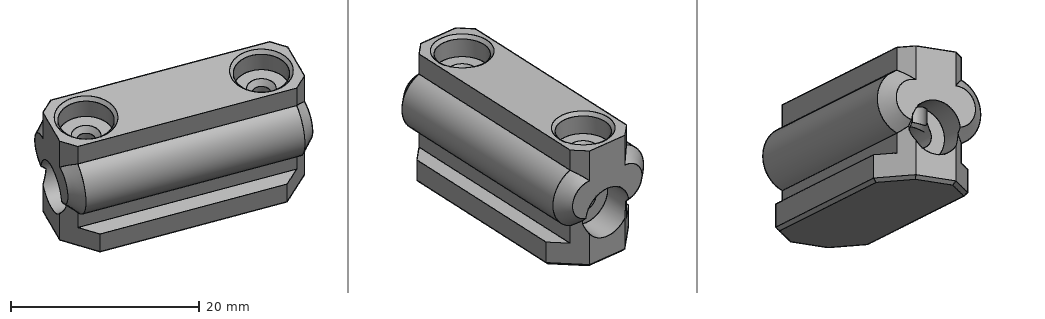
import cadquery as cq

length = 28.0
height = 14.67
end_chamfer = 1.48
edge_chamfer = 0.4

web_width = 7.85
base_width = 11.48
base_height = 2.97
end_face_width = web_width - 2 * end_chamfer
base_corner = (base_width - end_face_width) / 2

overall_width = 12.6
lobe_radius = 3.75
lobe_height = 8.65
lobe_offset = overall_width / 2 - lobe_radius

bore_height = 6.0
bore_diameter = 2.8
end_bore_diameter = 6.0
end_bore_depth = 3.5

screw_end_distance = 3.98
screw_spacing = length - 2 * screw_end_distance
screw_diameter = 2.0
head_diameter = 6.0
head_depth = 2.6
head_chamfer = 0.4
screw_chamfer = 0.6
crossing_chamfer = 0.4


def chamfered_block(width, block_height, corner):
    """Block standing on Z = 0 with its four vertical edges chamfered."""
    block = cq.Workplane("XY").box(width, length, block_height, centered=(True, True, False))
    return block.edges("|Z").chamfer(corner)


def side_lobe(side):
    """Lengthwise cylinder with chamfered ends, on the given side of the web."""
    lobe = (
        cq.Workplane("XZ", origin=(0, length / 2, 0))
        .center(side * lobe_offset, lobe_height)
        .circle(lobe_radius)
        .extrude(length)
    )
    return lobe.faces("|Y").edges().chamfer(end_chamfer)


def lengthwise_cylinder(diameter, start_y, depth):
    """Cylinder along +Y on the bore axis."""
    axis = cq.Vector(0, 1, 0)
    base = cq.Vector(0, start_y, bore_height)
    return cq.Workplane(cq.Solid.makeCylinder(diameter / 2, depth, base, axis))


def screw_cutter(y):
    """Head recess with a chamfered rim and a countersunk hole down to the bore axis."""
    screw_radius = screw_diameter / 2
    head_radius = head_diameter / 2
    head_floor = height - head_depth
    profile = (
        cq.Workplane("XZ", origin=(0, y, 0))
        .moveTo(0, bore_height)
        .lineTo(screw_radius, bore_height)
        .lineTo(screw_radius, head_floor - screw_chamfer)
        .lineTo(screw_radius + screw_chamfer, head_floor)
        .lineTo(head_radius, head_floor)
        .lineTo(head_radius, height - head_chamfer)
        .lineTo(head_radius + head_chamfer, height)
        .lineTo(0, height)
        .close()
    )
    return profile.revolve(360, (0, 0, 0), (0, 1, 0))


base = chamfered_block(base_width, base_height, base_corner)
base = base.faces("<Z").edges().chamfer(edge_chamfer)
web = chamfered_block(web_width, height - base_height, end_chamfer).translate((0, 0, base_height))
result = base.union(web)
for side in (-1, 1):
    result = result.union(side_lobe(side))

result = result.cut(lengthwise_cylinder(bore_diameter, -length / 2, length))
for y in (-screw_spacing / 2, screw_spacing / 2):
    result = result.cut(screw_cutter(y))
    crossing = cq.selectors.BoxSelector(
        (-bore_diameter, y - bore_diameter, bore_height),
        (bore_diameter, y + bore_diameter, bore_height + bore_diameter),
    )
    result = result.edges(crossing).chamfer(crossing_chamfer)

for start_y in (-length / 2, length / 2 - end_bore_depth):
    result = result.cut(lengthwise_cylinder(end_bore_diameter, start_y, end_bore_depth))